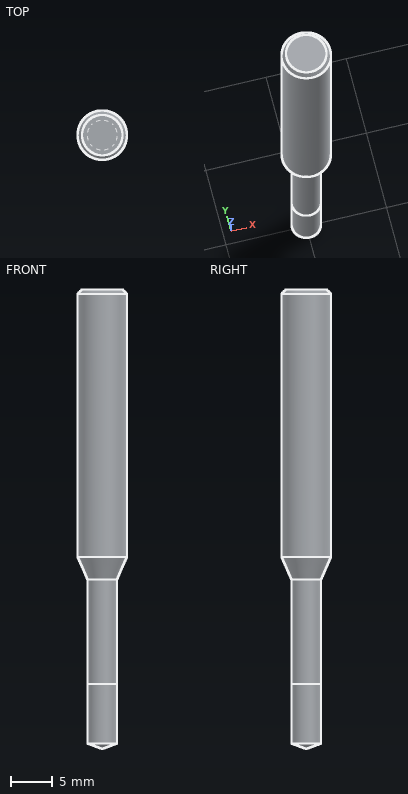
import cadquery as cq

total_length = 55.55
shank_radius = 6.0 / 2
neck_radius = 3.6 / 2

tip_height = 0.65
cutter_top = 7.85
taper_bottom = 20.5
taper_top = 23.2

bevel_width = 0.55
bevel_height = 0.55


def revolve_about_z(profile):
    """Turn a closed (radius, height) profile about Z, starting on the -Y side."""
    points = [(-radius, height) for radius, height in profile]
    return cq.Workplane("YZ").polyline(points).close().revolve(360, (0, 0), (0, 1))


def make_cutter():
    """Cylindrical cutting end with a shallow conical point."""
    return revolve_about_z([
        (0, 0),
        (neck_radius, tip_height),
        (neck_radius, cutter_top),
        (0, cutter_top),
    ])


def make_shank():
    """Neck, taper and bevelled shank, resting on the cutter's flat top."""
    return revolve_about_z([
        (0, cutter_top),
        (neck_radius, cutter_top),
        (neck_radius, taper_bottom),
        (shank_radius, taper_top),
        (shank_radius, total_length - bevel_height),
        (shank_radius - bevel_width, total_length),
        (0, total_length),
    ])


cutter = make_cutter()
shank = make_shank()

result = cq.Compound.makeCompound([cutter.val(), shank.val()])